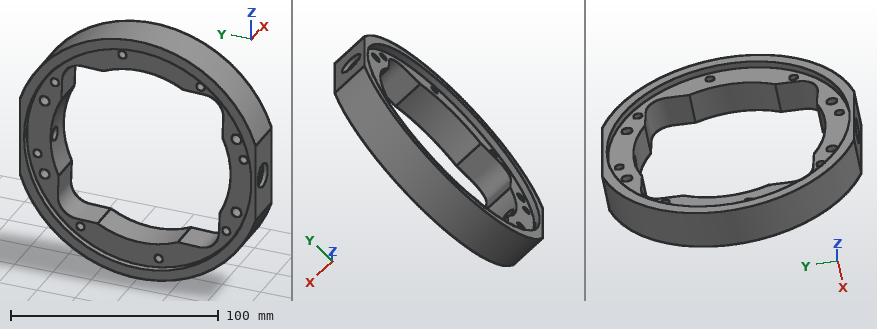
import cadquery as cq

ring_diameter = 129.5
ring_width = 20.0
across_flats = 123.0

recess_diameter = 118.5
recess_depth = 3.5

bore_diameter = 93.8
square_side = 84.0
square_corner_radius = 10.0
square_turn = 2.0

small_hole_diameter = 4.1
small_hole_count = 8
bolt_circle_diameter = 109.1
first_hole_angle = 35.0

large_hole_diameter = 5.0
large_hole_spacing_y = 100.0
large_hole_spacing_z = 39.9

cross_hole_diameter = 6.7
counterbore_diameter = 12.0
counterbore_depth = 2.5
cross_hole_x = 9.0


def ring_blank():
    disc = cq.Workplane("YZ").circle(ring_diameter / 2).extrude(ring_width)
    flats = cq.Workplane("YZ").rect(across_flats, ring_diameter).extrude(ring_width)
    return disc.intersect(flats)


def opening():
    bore = cq.Workplane("YZ").circle(bore_diameter / 2).extrude(ring_width)
    square = (
        cq.Workplane("YZ")
        .rect(square_side, square_side)
        .extrude(ring_width)
        .edges("|X")
        .fillet(square_corner_radius)
        .rotate((0, 0, 0), (1, 0, 0), square_turn)
    )
    return bore.union(square)


def recess():
    return cq.Workplane("YZ").circle(recess_diameter / 2).extrude(recess_depth)


def small_holes():
    return (
        cq.Workplane("YZ")
        .polarArray(bolt_circle_diameter / 2, first_hole_angle, 360, small_hole_count)
        .circle(small_hole_diameter / 2)
        .extrude(ring_width)
    )


def large_holes():
    return (
        cq.Workplane("YZ")
        .rect(large_hole_spacing_y, large_hole_spacing_z, forConstruction=True)
        .vertices()
        .circle(large_hole_diameter / 2)
        .extrude(ring_width)
    )


def y_cylinder(diameter, start_y, length):
    """Cylinder on the cross hole axis, running toward +Y from start_y."""
    solid = cq.Solid.makeCylinder(
        diameter / 2, length, cq.Vector(cross_hole_x, start_y, 0), cq.Vector(0, 1, 0)
    )
    return cq.Workplane(solid)


def cross_hole():
    flat_y = across_flats / 2
    through = y_cylinder(cross_hole_diameter, -flat_y, across_flats)
    near_bore = y_cylinder(counterbore_diameter, -flat_y, counterbore_depth)
    far_bore = y_cylinder(counterbore_diameter, flat_y - counterbore_depth, counterbore_depth)
    return through.union(near_bore).union(far_bore)


result = ring_blank()
for cutter in (opening(), recess(), small_holes(), large_holes(), cross_hole()):
    result = result.cut(cutter)